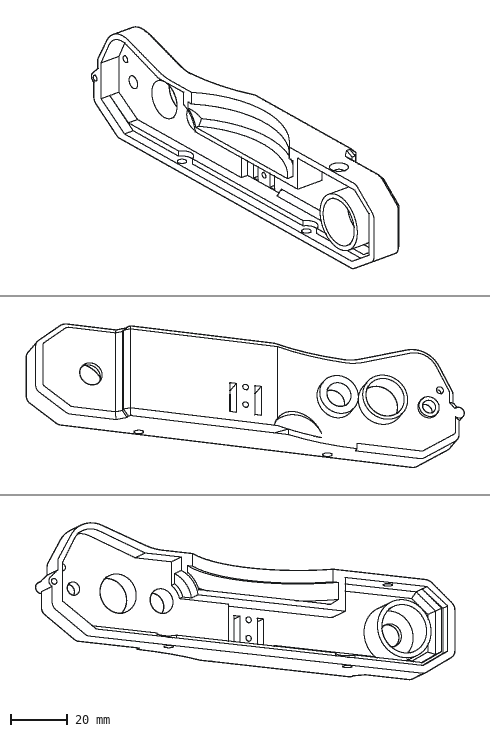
import cadquery as cq
import math


length = 158.5
body_left = 1.3
neck_left = 3.5
body_top = 34.0
left_height = 11.0
high_height = 18.2
right_height = 13.0
back_chamfer = 2.0
corner_radius = 3.2
head_radius = 10.1
neck_radius = 20.6
ramp_start = 39.6
ramp_radius = 72.9
step_x = 127.8
step_chamfer = 1.9
shoulder_radius = 4.1

pin_radius = 2.0
pin_x = pin_radius
pin_z = 18.4
pin_bore = 2.0
pin_bore_depth = 8.0
gusset_angle = math.radians(132)
gusset_top = 22.7

pocket_left = 5.4
pocket_right = 155.6
rim_bottom = 2.9
ledge_z = 4.9
ledge_y = 4.0
ledge_right = 155.2
left_floor = 8.1
right_floor = 11.0
floor_step_x = 74.0
right_pocket_top = 31.5
pocket_shoulder_x = 147.5
left_pocket_top = 32.3
floor_chamfer = 2.0
bottom_chamfer_start = 93.0
neck_wall = 2.0

block_left = 51.7
block_right = 115.7
block_bottom = 19.3

wheel_x = 83.5
wheel_y = -28.8
rim_radius = 39.8
wheel_radius = 41.2
rim_z = 29.5
wheel_floor_z = 21.2
wheel_chamfer = 2.0

knob_x = 47.9
knob_z = 17.8
knob_diameter = 14.3
bosses = [
    (13.5, 18.7, 7.5, 12.4, 4.8),
    (30.9, 18.7, 16.6, 16.0, 14.1),
    (knob_x, knob_z, knob_diameter, 15.7, 8.9),
]
knob_counterbore = 21.0
knob_counterbore_depth = 5.4
knob_wall = 0.8
locating_x = 9.0
locating_z = 26.0
locating_diameter = 2.5

tube_x = 138.7
tube_z = 15.4
tube_outer = 21.0
tube_inner = 17.5
tube_hole = 8.2

slot_width = 2.4
slot_bottom = 5.2
slot_top = 16.2
slot_x = (78.6, 87.8)
small_hole_x = 83.2
small_hole_z = (8.5, 15.2)
small_hole_diameter = 2.0

screw_diameter = 3.3
bottom_screw_x = (47.9, 117.6)
bottom_screw_y = 2.4
screw_relief = 8.2
top_screw_x = 134.1
top_screw_y = 3.8
countersink = 6.7
countersink_slope = 45

relief_x = 62.6
relief_z = -1.0
relief_diameter = 21.0
relief_floor = 12.2
relief_bottom = back_chamfer


def prism(points, start, end):
    """Extrude an X-Z polygon from Y = start to Y = end."""
    plane = cq.Workplane("XZ", origin=(0, start, 0))
    return plane.polyline(points).close().extrude(start - end)


def box(x, y, z):
    """Box between the pairs of limits x, y and z."""
    return cq.Workplane("XY").box(
        x[1] - x[0], y[1] - y[0], z[1] - z[0], centered=False
    ).translate((x[0], y[0], z[0]))


def rod(x, z, diameter, start, end):
    """Cylinder along Y."""
    return cq.Workplane("XZ", origin=(x, start, z)).circle(diameter / 2).extrude(start - end)


def round_corner(body, corner, radius):
    """Fillet the edge along Y nearest to the X-Z point corner."""
    x, z = corner
    edge = cq.selectors.NearestToPointSelector((x, left_height / 2, z))
    return body.edges("|Y").edges(edge).fillet(radius)


def make_outline():
    """Full-height prism of the outside shape, with a gusset that runs up from the pin."""
    lower_left = (body_left, 9.2)
    bottom_left = (14.9, 0)
    bottom_right = (146.6, 0)
    lower_right = (length, 7.8)
    upper_right = (length, 25.7)
    right_shoulder = (148.4, body_top)
    neck = (40.9, body_top)
    head = (12.7, 43.3)
    left_shoulder = (neck_left, 26.5)
    gusset_tip = (
        pin_x + pin_radius * math.cos(gusset_angle),
        pin_z + pin_radius * math.sin(gusset_angle),
    )
    outline = [
        lower_left,
        bottom_left,
        bottom_right,
        lower_right,
        upper_right,
        right_shoulder,
        neck,
        head,
        left_shoulder,
        (neck_left, gusset_top),
        gusset_tip,
        (body_left, pin_z),
    ]
    body = prism(outline, 0, high_height)
    small_corners = [
        lower_left,
        bottom_left,
        bottom_right,
        lower_right,
        upper_right,
        left_shoulder,
    ]
    for corner in small_corners:
        body = round_corner(body, corner, corner_radius)
    body = round_corner(body, head, head_radius)
    body = round_corner(body, right_shoulder, shoulder_radius)
    return round_corner(body, neck, neck_radius)


def make_side_profile():
    """Low left end, curved ramp, high middle and a step down to the right end."""
    rise = high_height - left_height
    ramp_run = math.sqrt(2 * ramp_radius * rise - rise**2)
    half_angle = math.asin(ramp_run / ramp_radius) / 2
    ramp_middle = (
        ramp_start + ramp_radius * math.sin(half_angle),
        left_height + ramp_radius * (1 - math.cos(half_angle)),
    )
    return (
        cq.Workplane("XY")
        .moveTo(0, 0)
        .lineTo(0, left_height)
        .lineTo(ramp_start, left_height)
        .threePointArc(ramp_middle, (ramp_start + ramp_run, high_height))
        .lineTo(step_x - step_chamfer, high_height)
        .lineTo(step_x, high_height - step_chamfer)
        .lineTo(step_x, right_height + step_chamfer)
        .lineTo(step_x + step_chamfer, right_height)
        .lineTo(length, right_height)
        .lineTo(length, 0)
        .close()
        .extrude(2 * body_top)
    )


def make_body():
    """Solid outside shape, before hollowing."""
    shape = make_outline().intersect(make_side_profile())
    longest_rim_rise = 0.6 * body_top
    back_rim = [
        edge
        for edge in shape.edges().vals()
        if edge.Center().y > left_height - back_chamfer / 2
        and edge.BoundingBox().zlen < longest_rim_rise
    ]
    body = shape.newObject(back_rim).chamfer(back_chamfer)
    ramp_foot = box(
        (ramp_start, wheel_x), (ledge_y, high_height - back_chamfer), (0, back_chamfer)
    )
    body = body.union(shape.intersect(ramp_foot))
    return body.union(rod(pin_x, pin_z, 2 * pin_radius, 0, left_height))


def make_left_pocket():
    """Pocket behind the head, which runs on below the wheel block."""
    head = (13.0, 40.7)
    points = [
        (pocket_left, 11.5),
        (15.8, ledge_z),
        (floor_step_x, ledge_z),
        (floor_step_x, block_bottom),
        (block_left, block_bottom),
        (block_left, left_pocket_top),
        (37.5, left_pocket_top),
        head,
        (pocket_left, 25.7),
    ]
    return round_corner(prism(points, 0, left_floor), head, head_radius - neck_wall)


def make_right_pocket():
    """Deeper pocket whose floor is chamfered along the outer walls, right of the slots."""
    points = [
        (bottom_chamfer_start, ledge_z),
        (147.7, ledge_z),
        (ledge_right, 9.7),
        (ledge_right, 25.4),
        (pocket_shoulder_x, right_pocket_top),
        (block_right, right_pocket_top),
        (block_right, block_bottom),
        (bottom_chamfer_start, block_bottom),
    ]
    pocket = prism(points, 0, right_floor)
    outer_edges = "(>X or >Z or <Z) or (not (|X or |Z))"
    pocket = pocket.faces(">Y").edges(outer_edges).chamfer(floor_chamfer)
    slot_area = box(
        (floor_step_x, bottom_chamfer_start), (0, right_floor), (ledge_z, block_bottom)
    )
    return pocket.union(slot_area)


def make_rim_opening():
    """Wider opening in front of the ledge."""
    points = [
        (pocket_left, 11.5),
        (18.5, rim_bottom),
        (146.1, rim_bottom),
        (pocket_right, 9.0),
        (pocket_right, 25.4),
        (pocket_shoulder_x, right_pocket_top),
        (block_right, right_pocket_top),
        (block_right, block_bottom),
        (pocket_left, block_bottom),
    ]
    return prism(points, 0, ledge_y)


def make_wheel_recess():
    """Disc-shaped recess under a smaller round opening, kept clear of the knob bore."""
    disc = (
        cq.Workplane("XY", origin=(wheel_x, wheel_y, wheel_floor_z))
        .circle(wheel_radius)
        .extrude(rim_z - wheel_floor_z)
        .faces("<Z")
        .edges()
        .chamfer(wheel_chamfer)
    )
    opening = (
        cq.Workplane("XY", origin=(wheel_x, wheel_y, rim_z))
        .circle(rim_radius)
        .extrude(body_top - rim_z)
    )
    knob_guard = rod(knob_x, knob_z, knob_counterbore + 2 * knob_wall, 0, high_height)
    return disc.union(opening).cut(knob_guard)


def make_ramp_relief():
    """Upper part of a disc that sinks into the ramp."""
    disc = rod(relief_x, relief_z, relief_diameter, relief_floor, high_height)
    return disc.intersect(box((0, length), (0, high_height), (relief_bottom, body_top)))


def add_bosses(body):
    """Hollow round bosses on the back, bored through the left floor."""
    for x, z, diameter, end, _ in bosses:
        body = body.union(rod(x, z, diameter, left_floor, end))
    for x, z, _, end, bore in bosses:
        body = body.cut(rod(x, z, bore, 0, end))
    return body.cut(rod(locating_x, locating_z, locating_diameter, 0, left_height))


def add_tube(body):
    """Tube that stands on the right floor, with a smaller hole through the back."""
    body = body.union(rod(tube_x, tube_z, tube_outer, 0, right_floor))
    body = body.cut(rod(tube_x, tube_z, tube_inner, 0, right_floor))
    return body.cut(rod(tube_x, tube_z, tube_hole, 0, high_height))


def cut_slots(body):
    """Two slots with a column of small holes between them."""
    for x in slot_x:
        sides = (x - slot_width / 2, x + slot_width / 2)
        body = body.cut(box(sides, (0, high_height), (slot_bottom, slot_top)))
    for z in small_hole_z:
        body = body.cut(rod(small_hole_x, z, small_hole_diameter, 0, high_height))
    return body


def cut_screw_holes(body):
    """Holes through the bottom wall with round reliefs in the ledge, and one in the top wall."""
    for x in bottom_screw_x:
        spot = cq.Workplane("XY", origin=(x, bottom_screw_y, 0))
        body = body.cut(spot.circle(screw_diameter / 2).extrude(ledge_z))
        relief = spot.workplane(offset=rim_bottom).circle(screw_relief / 2)
        body = body.cut(relief.extrude(ledge_z - rim_bottom))
    top_spot = cq.Workplane("XY", origin=(top_screw_x, top_screw_y, body_top))
    wall = body_top - right_pocket_top
    hole = top_spot.circle(screw_diameter / 2).extrude(-wall)
    sink_depth = (countersink - screw_diameter) / 2
    cone = top_spot.circle(countersink / 2).extrude(-sink_depth, taper=countersink_slope)
    return body.cut(hole).cut(cone)


result = make_body()
result = result.cut(make_left_pocket())
result = result.cut(make_right_pocket())
result = result.cut(make_rim_opening())
result = result.cut(make_wheel_recess())
result = result.cut(rod(knob_x, knob_z, knob_counterbore, 0, knob_counterbore_depth))
result = result.cut(rod(knob_x, knob_z, knob_diameter, 0, left_floor))
result = result.cut(make_ramp_relief())
result = add_bosses(result)
result = add_tube(result)
result = cut_slots(result)
result = cut_screw_holes(result)
result = result.cut(rod(pin_x, pin_z, pin_bore, 0, pin_bore_depth))